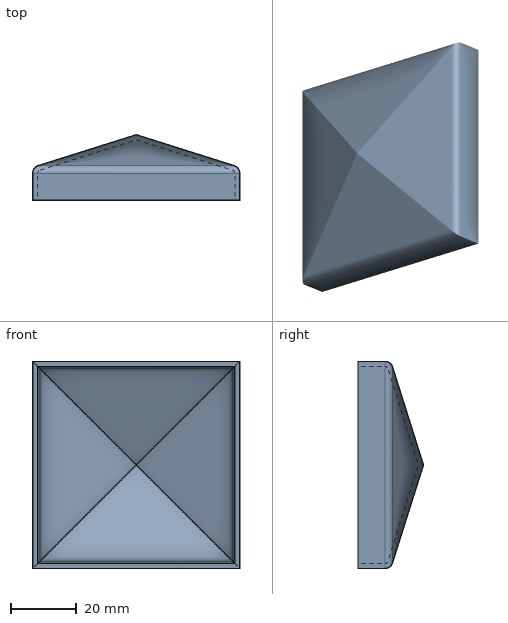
import cadquery as cq
import math

side = 63.0
total_depth = 20.0
eave_depth = 10.0
eave_radius = 2.5
wall = 1.5

half_side = side / 2
roof_angle = math.atan2(total_depth - eave_depth, half_side)


def gable_prism(half_width, apex, radius):
    """Prism along Z with a gable section in XY, its eaves rounded tangent to wall and roof."""
    eave = apex - half_width * math.tan(roof_angle)
    turn = math.pi / 2 - roof_angle
    wall_end = eave - radius * math.tan(turn / 2)
    center_x = half_width - radius

    def arc_point(angle):
        return (center_x + radius * math.cos(angle), wall_end + radius * math.sin(angle))

    arc_middle = arc_point(turn / 2)
    roof_start = arc_point(turn)
    return (
        cq.Workplane("XY")
        .moveTo(-half_width, 0)
        .lineTo(half_width, 0)
        .lineTo(half_width, wall_end)
        .threePointArc(arc_middle, roof_start)
        .lineTo(0, apex)
        .lineTo(-roof_start[0], roof_start[1])
        .threePointArc((-arc_middle[0], arc_middle[1]), (-half_width, wall_end))
        .close()
        .extrude(half_width, both=True)
    )


def rounded_pyramid(half_width, apex, radius):
    """Square block with a pyramid roof: two gable prisms crossing at right angles."""
    prism = gable_prism(half_width, apex, radius)
    crossing_prism = prism.rotate((0, 0, 0), (0, 1, 0), 90)
    return prism.intersect(crossing_prism)


outer = rounded_pyramid(half_side, total_depth, eave_radius)
cavity = rounded_pyramid(
    half_side - wall,
    total_depth - wall / math.cos(roof_angle),
    eave_radius - wall,
)

result = outer.cut(cavity)